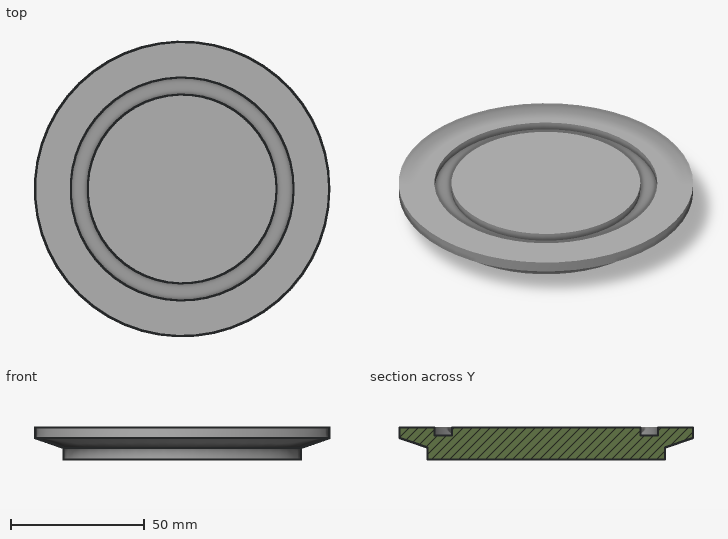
import cadquery as cq

rim_diameter = 110.0
total_height = 12.0
rim_height = 4.0

foot_diameter = 88.9
foot_height = 4.4

groove_outer_diameter = 83.3
groove_inner_diameter = 70.5
groove_depth = 3.0


def make_body():
    """Revolve the half section of foot, cone and rim about the Z axis."""
    rim_radius = rim_diameter / 2
    foot_radius = foot_diameter / 2
    half_section = [
        (0, 0),
        (foot_radius, 0),
        (foot_radius, foot_height),
        (rim_radius, total_height - rim_height),
        (rim_radius, total_height),
        (0, total_height),
    ]
    return cq.Workplane("XZ").polyline(half_section).close().revolve(360, (0, 0), (0, 1))


def make_groove():
    """Ring to remove from the top face, leaving a flush central pad."""
    return (
        cq.Workplane("XY")
        .workplane(offset=total_height - groove_depth)
        .circle(groove_outer_diameter / 2)
        .circle(groove_inner_diameter / 2)
        .extrude(groove_depth)
    )


result = make_body().cut(make_groove())